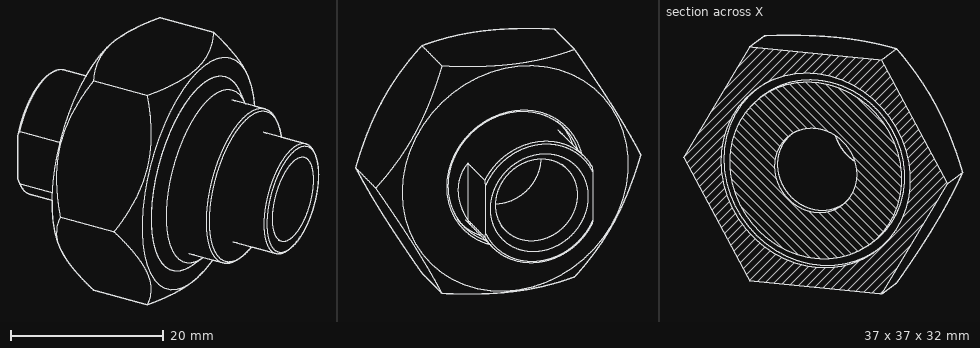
import cadquery as cq
import math

total_length = 37.0
bore_diameter = 11.45
edge_chamfer = 0.3

nut_left = 9.5
nut_right = 22.98
across_flats = 32.0
nut_face_diameter = 31.5
nut_bore_diameter = 18.5
thread_diameter = 26.4
lip_right = 13.5

tail_diameter = 17.0
tail_fillet = 0.37
shoulder_left = 11.7
flange_diameter = 24.12
joint_x = 15.55
bore_mouth_diameter = 13.65
flats_width = 15.0
flats_length = 7.0

collar_right = 24.42
collar_end_diameter = 23.5
body_diameter = 21.0
body_right = 30.0
spigot_diameter = 15.0
step_fillet = 0.48


def rod(diameter, left, right):
    """Cylinder on the X axis between two X positions."""
    return cq.Workplane("YZ").workplane(offset=left).circle(diameter / 2).extrude(right - left)


def revolve_about_x(profile):
    """Revolve a closed XY profile, with Y as radius, about the X axis."""
    return profile.close().revolve(360, (0, 0, 0), (1, 0, 0))


def concave_fillet_middle(shoulder_x, radius, fillet, direction):
    """Midpoint of a concave fillet that lies on the given side (+1 or -1) of a shoulder."""
    reach = fillet * (1 - math.sqrt(0.5))
    return shoulder_x + direction * reach, radius + reach


def make_nut():
    corner_diameter = across_flats / math.cos(math.pi / 6)
    corner_radius = corner_diameter / 2
    length = nut_right - nut_left
    prism = cq.Workplane("YZ").workplane(offset=nut_left).polygon(6, corner_diameter).extrude(length)

    face_radius = nut_face_diameter / 2
    cone_length = corner_radius - face_radius
    envelope = revolve_about_x(
        cq.Workplane("XY")
        .moveTo(nut_left, 0)
        .lineTo(nut_left, face_radius)
        .lineTo(nut_left + cone_length, corner_radius)
        .lineTo(nut_right - cone_length, corner_radius)
        .lineTo(nut_right, face_radius)
        .lineTo(nut_right, 0)
    )

    bore_radius = nut_bore_diameter / 2
    thread_radius = thread_diameter / 2
    cavity = revolve_about_x(
        cq.Workplane("XY")
        .moveTo(nut_left, 0)
        .lineTo(nut_left, bore_radius + edge_chamfer)
        .lineTo(nut_left + edge_chamfer, bore_radius)
        .lineTo(lip_right, bore_radius)
        .lineTo(lip_right, thread_radius)
        .lineTo(nut_right, thread_radius)
        .lineTo(nut_right, 0)
    )
    return prism.intersect(envelope).cut(cavity)


def make_tail():
    radius = tail_diameter / 2
    hub_radius = nut_bore_diameter / 2
    body = revolve_about_x(
        cq.Workplane("XY")
        .lineTo(0, radius - edge_chamfer)
        .lineTo(edge_chamfer, radius)
        .lineTo(shoulder_left - tail_fillet, radius)
        .threePointArc(
            concave_fillet_middle(shoulder_left, radius, tail_fillet, -1),
            (shoulder_left, radius + tail_fillet),
        )
        .lineTo(shoulder_left, hub_radius)
        .lineTo(lip_right, hub_radius)
        .lineTo(lip_right, flange_diameter / 2)
        .lineTo(joint_x, flange_diameter / 2)
        .lineTo(joint_x, 0)
    )
    tail = body.cut(rod(bore_diameter, 0, joint_x))

    mouth_radius = bore_mouth_diameter / 2
    mouth = revolve_about_x(cq.Workplane("XY").lineTo(0, mouth_radius).lineTo(mouth_radius, 0))
    tail = tail.cut(mouth)

    flat_y = flats_width / 2
    rise = tail_diameter - flats_width
    flat_cutter = (
        cq.Workplane("XY")
        .moveTo(0, flat_y)
        .lineTo(flats_length, flat_y)
        .lineTo(flats_length + rise, flat_y + rise)
        .lineTo(0, flat_y + rise)
        .close()
        .extrude(tail_diameter / 2, both=True)
    )
    return tail.cut(flat_cutter).cut(flat_cutter.mirror("XZ"))


def make_insert():
    thread_radius = thread_diameter / 2
    collar_end_radius = collar_end_diameter / 2
    body_radius = body_diameter / 2
    spigot_radius = spigot_diameter / 2
    cone_left = collar_right - (thread_radius - collar_end_radius)
    body = revolve_about_x(
        cq.Workplane("XY")
        .moveTo(joint_x, 0)
        .lineTo(joint_x, thread_radius)
        .lineTo(cone_left, thread_radius)
        .lineTo(collar_right, collar_end_radius)
        .lineTo(collar_right, body_radius + step_fillet)
        .threePointArc(
            concave_fillet_middle(collar_right, body_radius, step_fillet, 1),
            (collar_right + step_fillet, body_radius),
        )
        .lineTo(body_right - edge_chamfer, body_radius)
        .lineTo(body_right, body_radius - edge_chamfer)
        .lineTo(body_right, spigot_radius + step_fillet)
        .threePointArc(
            concave_fillet_middle(body_right, spigot_radius, step_fillet, 1),
            (body_right + step_fillet, spigot_radius),
        )
        .lineTo(total_length - edge_chamfer, spigot_radius)
        .lineTo(total_length, spigot_radius - edge_chamfer)
        .lineTo(total_length, 0)
    )
    return body.cut(rod(bore_diameter, joint_x, total_length))


nut = make_nut()
tail = make_tail()
insert = make_insert()

result = cq.Compound.makeCompound([nut.val(), tail.val(), insert.val()])